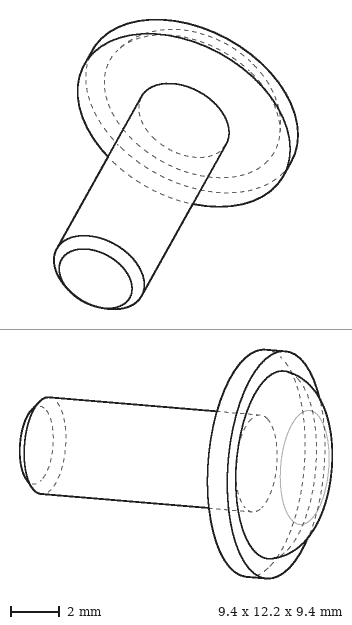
import cadquery as cq
import math

total_length = 12.2
shank_length = 10.0
flange_thickness = 0.9
shank_radius = 2.0
flange_radius = 4.7
dome_base_radius = 3.88
dome_top_radius = 2.35
tip_chamfer = 0.39

dome_height = total_length - shank_length - flange_thickness
head_top = flange_thickness + dome_height

dome_run = dome_base_radius - dome_top_radius
flank_radius = (dome_run**2 + dome_height**2) / (2 * dome_height)
flank_angle = math.atan2(dome_height, dome_run)
flank_mid = (
    dome_top_radius + flank_radius * math.sin(flank_angle),
    head_top - flank_radius * (1 - math.cos(flank_angle)),
)

profile = (
    cq.Workplane("XY")
    .moveTo(0, -shank_length)
    .lineTo(shank_radius - tip_chamfer, -shank_length)
    .lineTo(shank_radius, -shank_length + tip_chamfer)
    .lineTo(shank_radius, 0)
    .lineTo(flange_radius, 0)
    .lineTo(flange_radius, flange_thickness)
    .lineTo(dome_base_radius, flange_thickness)
    .threePointArc(flank_mid, (dome_top_radius, head_top))
    .lineTo(0, head_top)
    .close()
)

result = profile.revolve(360, (0, 0, 0), (0, 1, 0))